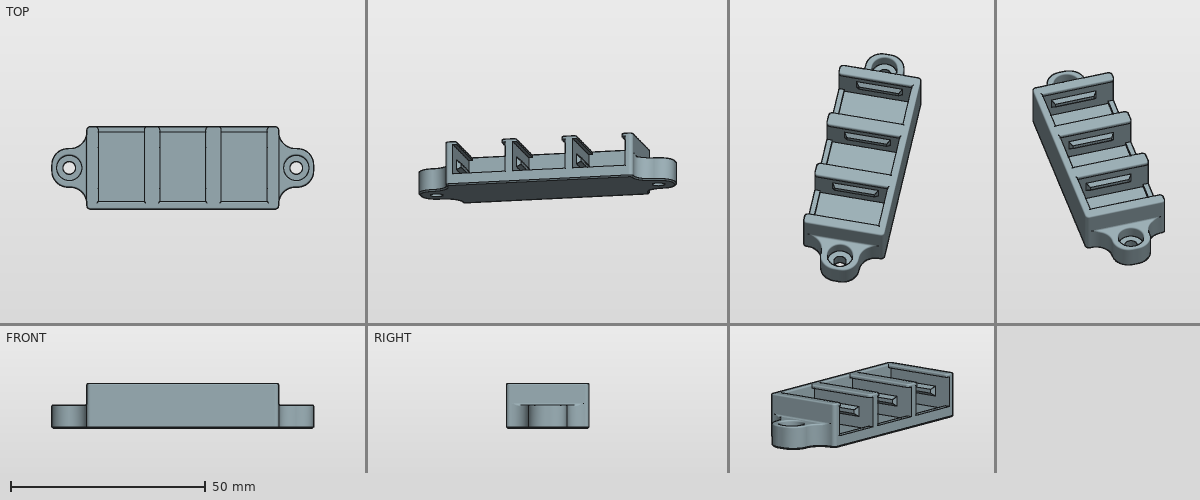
import cadquery as cq
BODY_LENGTH = 49.4
BODY_WIDTH = 21.3
BODY_HEIGHT = 11.55
CORNER_RADIUS = 1.0
EDGE_RADIUS = 0.4
BOTTOM_CHAMFER = 0.4
HALF_LENGTH = BODY_LENGTH / 2
HALF_WIDTH = BODY_WIDTH / 2

POCKET_COUNT = 3
DIVIDER_THICKNESS = 4.0
END_WALL_THICKNESS = 3.0
FRONT_WALL_THICKNESS = 2.0
RIM_THICKNESS = 0.8
RIM_OVERHANG = 1.0
RIM_TIP_RADIUS = 0.95
FLOOR_HEIGHT = 2.2
LIP_HEIGHT = 3.0
LIP_WIDTH = 1.4
DIVIDERS_TOTAL = (POCKET_COUNT - 1) * DIVIDER_THICKNESS
OPENING_LENGTH = (BODY_LENGTH - 2 * END_WALL_THICKNESS - DIVIDERS_TOTAL) / POCKET_COUNT
CHAMBER_LENGTH = OPENING_LENGTH + 2 * RIM_OVERHANG
POCKET_PITCH = OPENING_LENGTH + DIVIDER_THICKNESS
POCKET_FRONT = -HALF_WIDTH + FRONT_WALL_THICKNESS
RIM_BOTTOM = BODY_HEIGHT - RIM_THICKNESS
FIRST_POCKET_X = -(POCKET_COUNT - 1) / 2 * POCKET_PITCH
POCKET_CENTRES = [FIRST_POCKET_X + i * POCKET_PITCH for i in range(POCKET_COUNT)]

CATCH_DEPTH = RIM_OVERHANG
CATCH_LENGTH = 12.0
CATCH_FACE_HEIGHT = 1.0
CATCH_SLOPE_HEIGHT = 0.8
CATCH_END_SLOPE = 0.8
CATCH_HEIGHT = CATCH_FACE_HEIGHT + 2 * CATCH_SLOPE_HEIGHT
CATCH_CENTRE_Z = 6.4

EAR_LENGTH = 9.0
EAR_WIDTH = 10.0
EAR_HEIGHT = 6.0
EAR_RADIUS = 4.25
EAR_EDGE_RADIUS = 0.4
EAR_JOINT_RADIUS = 0.4
EAR_TIP_X = HALF_LENGTH + EAR_LENGTH
EAR_CENTRE_X = HALF_LENGTH + EAR_LENGTH / 2

SCREW_DIAMETER = 3.2
HEAD_DIAMETER = 6.5
HEAD_SEAT_HEIGHT = 3.0
HEAD_EDGE_RADIUS = 0.4

TOLERANCE = 0.01


def make_body():
    block = cq.Workplane("XY").box(BODY_LENGTH, BODY_WIDTH, BODY_HEIGHT, centered=(True, True, False))
    return block.edges("|Z").fillet(CORNER_RADIUS)


def pocket_block(x, length, back, bottom, top):
    """A block centred on x that runs from the front wall back to the given Y."""
    block = cq.Workplane("XY").box(length, back - POCKET_FRONT, top - bottom, centered=(True, False, False))
    return block.translate((x, POCKET_FRONT, bottom))


def cut_rim_openings(body):
    """Cut the pocket mouths and round the rim tips and the top edges."""
    for x in POCKET_CENTRES:
        body = body.cut(pocket_block(x, OPENING_LENGTH, HALF_WIDTH, RIM_BOTTOM, BODY_HEIGHT))
    for x in POCKET_CENTRES:
        for side in (-1, 1):
            tip = (x + side * OPENING_LENGTH / 2, HALF_WIDTH, RIM_BOTTOM + RIM_THICKNESS / 2)
            body = body.edges(cq.selectors.NearestToPointSelector(tip)).fillet(RIM_TIP_RADIUS)
    return body.faces(">Z").edges().fillet(EDGE_RADIUS)


def cut_chambers(body):
    """Cut the chambers under the rim, leaving a low lip along the open side."""
    for x in POCKET_CENTRES:
        body = body.cut(pocket_block(x, CHAMBER_LENGTH, HALF_WIDTH, LIP_HEIGHT, RIM_BOTTOM))
        body = body.cut(pocket_block(x, CHAMBER_LENGTH, HALF_WIDTH - LIP_WIDTH, FLOOR_HEIGHT, LIP_HEIGHT))
    return body


def make_catch(wall_x, direction):
    """A bevelled bar on a side wall, standing out along X in the given direction."""
    return (
        cq.Workplane("YZ", origin=(wall_x, 0, CATCH_CENTRE_Z))
        .rect(CATCH_LENGTH, CATCH_HEIGHT)
        .workplane(offset=direction * CATCH_DEPTH)
        .rect(CATCH_LENGTH - 2 * CATCH_END_SLOPE, CATCH_FACE_HEIGHT)
        .loft()
    )


def add_catches(body):
    for x in POCKET_CENTRES:
        for side in (-1, 1):
            body = body.union(make_catch(x + side * CHAMBER_LENGTH / 2, -side))
    return body


def make_ear_plate():
    """The +X ear: a rounded tab that flares into the end of the body."""
    half = EAR_WIDTH / 2
    root_x = HALF_LENGTH - CORNER_RADIUS
    flare_x = HALF_LENGTH + EAR_RADIUS
    flare_y = half + EAR_RADIUS
    return (
        cq.Workplane("XY")
        .moveTo(root_x, -flare_y)
        .lineTo(HALF_LENGTH, -flare_y)
        .radiusArc((flare_x, -half), EAR_RADIUS)
        .lineTo(EAR_TIP_X - EAR_RADIUS, -half)
        .radiusArc((EAR_TIP_X, -half + EAR_RADIUS), -EAR_RADIUS)
        .lineTo(EAR_TIP_X, half - EAR_RADIUS)
        .radiusArc((EAR_TIP_X - EAR_RADIUS, half), -EAR_RADIUS)
        .lineTo(flare_x, half)
        .radiusArc((HALF_LENGTH, flare_y), EAR_RADIUS)
        .lineTo(root_x, flare_y)
        .close()
        .extrude(EAR_HEIGHT)
    )


def ear_top_edges(body, side, x_from, x_to):
    """Edges level with the ear top whose centres lie between two distances from the YZ plane."""
    near = (side * x_from, -HALF_WIDTH, EAR_HEIGHT - TOLERANCE)
    far = (side * x_to, HALF_WIDTH, EAR_HEIGHT + TOLERANCE)
    return body.edges(cq.selectors.BoxSelector(near, far))


def add_ear(body, side):
    """Join an ear, fillet its corner with the body, then round its outer top edge."""
    plate = make_ear_plate()
    if side < 0:
        plate = plate.mirror("YZ")
    body = body.union(plate)
    joint = ear_top_edges(body, side, HALF_LENGTH - TOLERANCE, HALF_LENGTH + TOLERANCE)
    body = joint.fillet(EAR_JOINT_RADIUS)
    outline_start = HALF_LENGTH + EAR_JOINT_RADIUS + TOLERANCE
    outline = ear_top_edges(body, side, outline_start, EAR_TIP_X + TOLERANCE)
    return outline.fillet(EAR_EDGE_RADIUS)


def cut_screw_hole(body, side):
    x = side * EAR_CENTRE_X
    shank = cq.Workplane("XY", origin=(x, 0, 0)).circle(SCREW_DIAMETER / 2).extrude(EAR_HEIGHT)
    head = cq.Workplane("XY", origin=(x, 0, HEAD_SEAT_HEIGHT)).circle(HEAD_DIAMETER / 2).extrude(EAR_HEIGHT)
    body = body.cut(shank).cut(head)
    rim = ear_top_edges(body, side, EAR_CENTRE_X - TOLERANCE, EAR_CENTRE_X + TOLERANCE)
    return rim.fillet(HEAD_EDGE_RADIUS)


result = cut_rim_openings(make_body())
for ear_side in (-1, 1):
    result = add_ear(result, ear_side)
result = result.faces("<Z").edges().chamfer(BOTTOM_CHAMFER)
for ear_side in (-1, 1):
    result = cut_screw_hole(result, ear_side)
result = add_catches(cut_chambers(result))